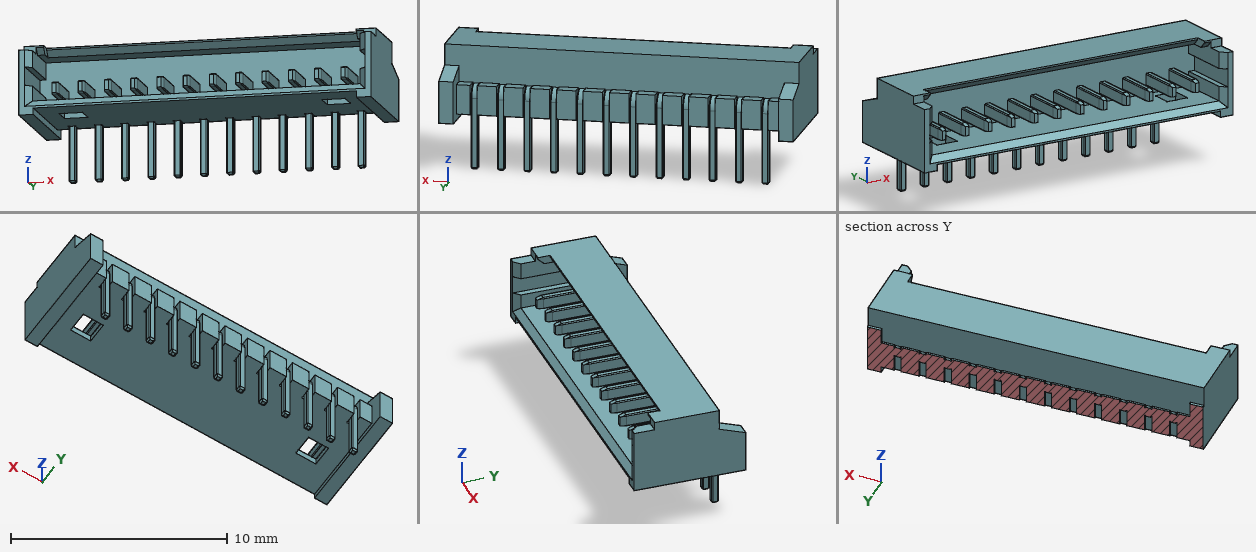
import cadquery as cq

LENGTH = 16.75
DEPTH = 5.5
HEIGHT = 3.47
ROOF_FRONT_Y = 1.0
ROOF_REAR_Y = 4.19
FRONT_WALL_HEIGHT = 3.08
WING_REAR_HEIGHT = 2.01
WING_TOP_HEIGHT = 2.46
WING_WIDTH = 0.69
FOOT_HEIGHT = 0.3

SIDE_WALL = 0.59
CAVITY_BACK_Y = 2.96
FLOOR_TOP_Z = 0.7
LEAD_IN = 0.3
GROOVE_BOTTOM_Z = 1.4
GROOVE_TOP_Z = 2.28
ROOF_NOTCH_INSET = 0.94
ROOF_NOTCH_Y = 1.6

WINDOW_FRONT_Y = 1.45
WINDOW_BACK_Y = 2.51
WINDOW_WIDTH = 1.1

PIN_COUNT = 12
PITCH = 1.25
PIN_WIDTH = 0.34
PIN_TOP_Z = 1.71
PIN_BOTTOM_Z = 1.1
PIN_FRONT_Y = 0.72
PIN_TAPER_LENGTH = 0.28
PIN_TOP_TAPER = 0.1
PIN_BOTTOM_TAPER = 0.05
PIN_TIP_WIDTH = 0.18
PIN_EDGE_CHAMFER = 0.05
LEG_REAR_Y = 4.64
LEG_THICKNESS = 0.34
LEG_BOTTOM_Z = -2.33
LEG_TAPER = 0.08
BEND_RADIUS = 0.65

COMB_REAR_Y = 4.79
COMB_TOP_Z = PIN_TOP_Z

CAVITY_WIDTH = LENGTH - 2 * SIDE_WALL
MOUTH_WIDTH = CAVITY_WIDTH + 2 * LEAD_IN
WING_GAP = LENGTH - 2 * WING_WIDTH
PIN_XS = [(i - (PIN_COUNT - 1) / 2) * PITCH for i in range(PIN_COUNT)]


def block(width, y_range, z_range, x_center=0.0):
    """Box centred on x_center, spanning the given Y and Z ranges."""
    y_min, y_max = y_range
    z_min, z_max = z_range
    return (
        cq.Workplane("XY")
        .box(width, y_max - y_min, z_max - z_min, centered=(True, False, False))
        .translate((x_center, y_min, z_min))
    )


def side_prism(points, width):
    """Y-Z outline extruded to the given width, centred on X = 0."""
    return cq.Workplane("YZ").polyline(points).close().extrude(width / 2, both=True)


def make_shell():
    """Full-length side profile, relieved between the end wings and between the feet."""
    shell = side_prism(
        [
            (0, 0),
            (DEPTH, 0),
            (DEPTH, WING_REAR_HEIGHT),
            (ROOF_REAR_Y, WING_TOP_HEIGHT),
            (ROOF_REAR_Y, HEIGHT),
            (ROOF_FRONT_Y, HEIGHT),
            (ROOF_FRONT_Y, FRONT_WALL_HEIGHT),
            (0, FRONT_WALL_HEIGHT),
        ],
        LENGTH,
    )
    shell = shell.cut(block(WING_GAP, (COMB_REAR_Y, DEPTH), (0, HEIGHT)))
    shell = shell.cut(block(WING_GAP, (ROOF_REAR_Y, DEPTH), (COMB_TOP_Z, HEIGHT)))
    return shell.cut(block(WING_GAP, (0, DEPTH), (0, FOOT_HEIGHT)))


def roof_lead_in(front_y, width):
    """Wedge that bevels the lower front edge of the roof."""
    return side_prism(
        [
            (front_y, FRONT_WALL_HEIGHT),
            (front_y + LEAD_IN, FRONT_WALL_HEIGHT),
            (front_y, FRONT_WALL_HEIGHT + LEAD_IN),
        ],
        width,
    )


def make_cavity():
    """Open mating space with bevelled mouth, side grooves and roof notch."""
    cavity = block(CAVITY_WIDTH, (0, CAVITY_BACK_Y), (FLOOR_TOP_Z, FRONT_WALL_HEIGHT))
    grooves = block(MOUTH_WIDTH, (0, CAVITY_BACK_Y), (GROOVE_BOTTOM_Z, GROOVE_TOP_Z))

    mouth_bottom = FLOOR_TOP_Z - LEAD_IN
    mouth_height = FRONT_WALL_HEIGHT + LEAD_IN - mouth_bottom
    mouth_center = mouth_bottom + mouth_height / 2
    mouth = (
        cq.Workplane("XZ", origin=(0, 0, mouth_center))
        .rect(MOUTH_WIDTH, mouth_height)
        .workplane(offset=-LEAD_IN)
        .rect(CAVITY_WIDTH, mouth_height - 2 * LEAD_IN)
        .loft(ruled=True)
    )

    notch_width = LENGTH - 2 * ROOF_NOTCH_INSET
    notch = block(notch_width, (ROOF_FRONT_Y, ROOF_NOTCH_Y), (FRONT_WALL_HEIGHT, HEIGHT))
    cavity = cavity.union(grooves).union(mouth).union(notch)
    cavity = cavity.union(roof_lead_in(ROOF_FRONT_Y, CAVITY_WIDTH))
    return cavity.union(roof_lead_in(ROOF_NOTCH_Y, notch_width))


def make_windows():
    """Openings through the floor between the outermost two pins at each end."""
    center = (PIN_XS[-1] + PIN_XS[-2]) / 2
    y_range = (WINDOW_FRONT_Y, WINDOW_BACK_Y)
    z_range = (0, FLOOR_TOP_Z)
    window = block(WINDOW_WIDTH, y_range, z_range, center)
    return window.union(window.mirror("YZ"))


def make_pin():
    """Bent pin centred on X = 0: a tapered contact along Y and a leg running down."""
    leg_front_y = LEG_REAR_Y - LEG_THICKNESS
    taper_end_y = PIN_FRONT_Y + PIN_TAPER_LENGTH
    bend_y = LEG_REAR_Y - BEND_RADIUS
    bend_z = PIN_TOP_Z - BEND_RADIUS
    bend_mid = BEND_RADIUS * 0.5 ** 0.5
    pin = (
        cq.Workplane("YZ")
        .moveTo(PIN_FRONT_Y, PIN_BOTTOM_Z + PIN_BOTTOM_TAPER)
        .lineTo(PIN_FRONT_Y, PIN_TOP_Z - PIN_TOP_TAPER)
        .lineTo(taper_end_y, PIN_TOP_Z)
        .lineTo(bend_y, PIN_TOP_Z)
        .threePointArc((bend_y + bend_mid, bend_z + bend_mid), (LEG_REAR_Y, bend_z))
        .lineTo(LEG_REAR_Y, LEG_BOTTOM_Z + LEG_TAPER)
        .lineTo(LEG_REAR_Y - LEG_TAPER, LEG_BOTTOM_Z)
        .lineTo(leg_front_y + LEG_TAPER, LEG_BOTTOM_Z)
        .lineTo(leg_front_y, LEG_BOTTOM_Z + LEG_TAPER)
        .lineTo(leg_front_y, PIN_BOTTOM_Z)
        .lineTo(taper_end_y, PIN_BOTTOM_Z)
        .close()
        .extrude(PIN_WIDTH / 2, both=True)
        .faces("<X or >X")
        .chamfer(PIN_EDGE_CHAMFER)
    )

    plan = (
        cq.Workplane("XY", origin=(0, 0, LEG_BOTTOM_Z))
        .polyline(
            [
                (-PIN_TIP_WIDTH / 2, PIN_FRONT_Y),
                (PIN_TIP_WIDTH / 2, PIN_FRONT_Y),
                (PIN_WIDTH / 2, taper_end_y),
                (PIN_WIDTH / 2, LEG_REAR_Y),
                (-PIN_WIDTH / 2, LEG_REAR_Y),
                (-PIN_WIDTH / 2, taper_end_y),
            ]
        )
        .close()
        .extrude(PIN_TOP_Z - LEG_BOTTOM_Z)
    )
    pin = pin.intersect(plan)

    leg_tip_half_width = PIN_WIDTH / 2 - LEG_TAPER
    front_outline = (
        cq.Workplane("XZ")
        .polyline(
            [
                (-leg_tip_half_width, LEG_BOTTOM_Z),
                (leg_tip_half_width, LEG_BOTTOM_Z),
                (PIN_WIDTH / 2, LEG_BOTTOM_Z + LEG_TAPER),
                (PIN_WIDTH / 2, PIN_TOP_Z),
                (-PIN_WIDTH / 2, PIN_TOP_Z),
                (-PIN_WIDTH / 2, LEG_BOTTOM_Z + LEG_TAPER),
            ]
        )
        .close()
        .extrude(-DEPTH)
    )
    return pin.intersect(front_outline)


housing = make_shell().cut(make_cavity()).cut(make_windows())
pin = make_pin()

for x in PIN_XS:
    slot = block(PIN_WIDTH, (ROOF_REAR_Y, COMB_REAR_Y), (0, COMB_TOP_Z), x)
    housing = housing.cut(slot)

result = housing
for x in PIN_XS:
    result = result.union(pin.translate((x, 0, 0)))